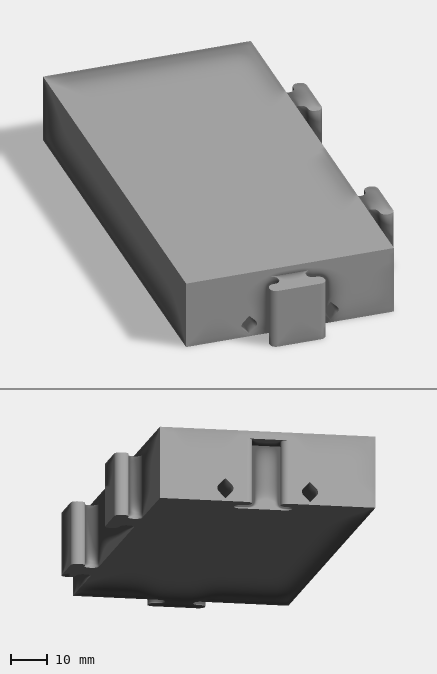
import cadquery as cq
import math

CELL = 60.0
BLOCK_LENGTH = 2 * CELL
BLOCK_HEIGHT = 20.0

HEAD_WIDTH = 16.0
HEAD_THICKNESS = 4.0
NECK_WIDTH = 7.9
NECK_LENGTH = 4.0
CONNECTOR_FILLET = 1.8
CONNECTOR_FOOT = 3 * CONNECTOR_FILLET
KNOB_HEIGHT = 17.5

CLEARANCE = 0.06
SOCKET_HEIGHT = 17.8

CHANNEL_SIDE = 4.0
CHANNEL_FILLET = 1.4
CHANNEL_OFFSET = 11.8
CHANNEL_AXIS_HEIGHT = 3.6

LETTER_DEPTH = 1.0
BASELINE_Y = -12.0
ASCENDER_HEIGHT = 25.6
ROUND_TOP = 18.3
ROUND_BOTTOM = -0.3
STROKE = 2.5
SERIF = 2.3
COUNTER_TOP = ROUND_TOP - STROKE
COUNTER_BOTTOM = ROUND_BOTTOM + STROKE

A_STEM_LEFT = 3.1
A_STEM_RIGHT = 6.1
A_FOOT_LEFT = 3.5
A_FOOT_RIGHT = 7.9
A_TIP_LEFT = -6.9
A_TIP_RIGHT = -4.5
A_BOWL_LEFT = -7.7
A_COUNTER_LEFT = -4.7
A_BAR_LEFT = -2.0
A_ARCH_CENTRE = -0.5
A_BOWL_CENTRE = -2.5
A_COUNTER_CENTRE = -1.4

A_TIP_BOTTOM = 12.4
A_SHOULDER = 13.5
A_BAR_TOP = 10.1
A_BAR_BOTTOM = 7.7
A_BOWL_MIDDLE = 4.9

B_SERIF_LEFT = -10.0
B_STEM_LEFT = -7.2
B_STEM_RIGHT = -4.1
B_FOOT_RIGHT = -4.5
B_BOWL_CENTRE = 0.8
B_BOWL_RIGHT = 7.8
B_COUNTER_CENTRE = 0.0
B_COUNTER_RIGHT = 4.5

B_BOWL_MIDDLE = (ROUND_TOP + ROUND_BOTTOM) / 2
B_COUNTER_SHOULDER = 13.3
B_COUNTER_HIP = 4.7

RIGHT = (1, 0)
LEFT = (-1, 0)
UP = (0, 1)
DOWN = (0, -1)
UP_RIGHT = (1, 1)
DOWN_RIGHT = (1, -1)
DOWN_LEFT = (-1, -1)


def connector(gap, height):
    """T-shaped prism pointing along +X, grown by gap on its flanks and tip.

    A foot behind the plane X = 0 gives the neck its flared root.
    """
    half_neck = NECK_WIDTH / 2 + gap
    half_head = HEAD_WIDTH / 2 + gap
    half_foot = half_neck + CONNECTOR_FOOT
    foot_back = -CONNECTOR_FOOT
    head_back = NECK_LENGTH - gap
    tip = NECK_LENGTH + HEAD_THICKNESS + gap
    upper_side = [
        (foot_back, half_foot),
        (0, half_foot),
        (0, half_neck),
        (head_back, half_neck),
        (head_back, half_head),
        (tip, half_head),
    ]
    lower_side = [(x, -y) for x, y in reversed(upper_side)]
    prism = cq.Workplane("XY").polyline(upper_side + lower_side).close().extrude(height)
    return prism.edges("|Z").fillet(CONNECTOR_FILLET)


def channel(y):
    """Cutter for one channel through the whole block length."""
    half_diagonal = CHANNEL_SIDE / math.sqrt(2)
    return (
        cq.Workplane("YZ", origin=(-BLOCK_LENGTH / 2, y, CHANNEL_AXIS_HEIGHT))
        .polyline([(0, half_diagonal), (half_diagonal, 0), (0, -half_diagonal), (-half_diagonal, 0)])
        .close()
        .extrude(BLOCK_LENGTH)
        .edges("|X and (<Y or >Y)")
        .fillet(CHANNEL_FILLET)
    )


def letter_plane(cell_x):
    """Plane of the inlay floor, with its origin on the baseline of a cell."""
    return cq.Workplane("XY", origin=(cell_x, BASELINE_Y, BLOCK_HEIGHT - LETTER_DEPTH))


def make_letter_a(cell_x):
    outline = (
        letter_plane(cell_x)
        .moveTo(A_FOOT_LEFT, 0)
        .lineTo(A_FOOT_RIGHT, 0)
        .lineTo(A_FOOT_RIGHT, SERIF)
        .lineTo(A_STEM_RIGHT, SERIF)
        .lineTo(A_STEM_RIGHT, A_SHOULDER)
        .spline([(A_ARCH_CENTRE, ROUND_TOP)], tangents=[UP, LEFT], includeCurrent=True)
        .spline([(A_TIP_LEFT, COUNTER_TOP)], tangents=[LEFT, DOWN_LEFT], includeCurrent=True)
        .lineTo(A_TIP_LEFT, A_TIP_BOTTOM)
        .lineTo(A_TIP_RIGHT, A_TIP_BOTTOM)
        .spline([(A_ARCH_CENTRE, COUNTER_TOP)], tangents=[UP, RIGHT], includeCurrent=True)
        .spline([(A_STEM_LEFT, A_SHOULDER)], tangents=[RIGHT, DOWN_RIGHT], includeCurrent=True)
        .lineTo(A_STEM_LEFT, A_BAR_TOP)
        .lineTo(A_BAR_LEFT, A_BAR_TOP)
        .spline([(A_BOWL_LEFT, A_BOWL_MIDDLE)], tangents=[LEFT, DOWN], includeCurrent=True)
        .spline([(A_BOWL_CENTRE, ROUND_BOTTOM)], tangents=[DOWN, RIGHT], includeCurrent=True)
        .spline([(A_STEM_LEFT, COUNTER_BOTTOM)], tangents=[RIGHT, UP_RIGHT], includeCurrent=True)
        .close()
        .extrude(LETTER_DEPTH)
    )
    counter = (
        letter_plane(cell_x)
        .moveTo(A_STEM_LEFT, A_BAR_BOTTOM)
        .lineTo(A_BAR_LEFT, A_BAR_BOTTOM)
        .spline([(A_COUNTER_LEFT, A_BOWL_MIDDLE)], tangents=[LEFT, DOWN], includeCurrent=True)
        .spline([(A_COUNTER_CENTRE, COUNTER_BOTTOM)], tangents=[DOWN, RIGHT], includeCurrent=True)
        .spline([(A_STEM_LEFT, A_BOWL_MIDDLE)], tangents=[RIGHT, UP_RIGHT], includeCurrent=True)
        .close()
        .extrude(LETTER_DEPTH)
    )
    return outline.cut(counter)


def make_letter_b(cell_x):
    outline = (
        letter_plane(cell_x)
        .moveTo(B_STEM_LEFT, 0)
        .lineTo(B_FOOT_RIGHT, 0)
        .lineTo(B_STEM_RIGHT, COUNTER_BOTTOM)
        .spline([(B_BOWL_CENTRE, ROUND_BOTTOM)], tangents=[DOWN_RIGHT, RIGHT], includeCurrent=True)
        .spline([(B_BOWL_RIGHT, B_BOWL_MIDDLE)], tangents=[RIGHT, UP], includeCurrent=True)
        .spline([(B_BOWL_CENTRE, ROUND_TOP)], tangents=[UP, LEFT], includeCurrent=True)
        .spline([(B_STEM_RIGHT, COUNTER_TOP)], tangents=[LEFT, DOWN_LEFT], includeCurrent=True)
        .lineTo(B_STEM_RIGHT, ASCENDER_HEIGHT)
        .lineTo(B_SERIF_LEFT, ASCENDER_HEIGHT)
        .lineTo(B_SERIF_LEFT, ASCENDER_HEIGHT - SERIF)
        .lineTo(B_STEM_LEFT, ASCENDER_HEIGHT - SERIF)
        .close()
        .extrude(LETTER_DEPTH)
    )
    counter = (
        letter_plane(cell_x)
        .moveTo(B_STEM_RIGHT, B_COUNTER_HIP)
        .spline([(B_COUNTER_CENTRE, COUNTER_BOTTOM)], tangents=[DOWN_RIGHT, RIGHT], includeCurrent=True)
        .spline([(B_COUNTER_RIGHT, B_BOWL_MIDDLE)], tangents=[RIGHT, UP], includeCurrent=True)
        .spline([(B_COUNTER_CENTRE, COUNTER_TOP)], tangents=[UP, LEFT], includeCurrent=True)
        .spline([(B_STEM_RIGHT, B_COUNTER_SHOULDER)], tangents=[LEFT, DOWN_LEFT], includeCurrent=True)
        .close()
        .extrude(LETTER_DEPTH)
    )
    return outline.cut(counter)


def make_block(inlays):
    """Tile block with its knobs, socket and channels, and a recess for each inlay."""
    body = cq.Workplane("XY").box(BLOCK_LENGTH, CELL, BLOCK_HEIGHT, centered=(True, True, False))

    knob = connector(0, KNOB_HEIGHT)
    for x in (-CELL / 2, CELL / 2):
        body = body.union(knob.rotate((0, 0, 0), (0, 0, 1), 90).translate((x, CELL / 2, 0)))
    body = body.union(knob.translate((BLOCK_LENGTH / 2, 0, 0)))

    body = body.cut(connector(CLEARANCE, SOCKET_HEIGHT).translate((-BLOCK_LENGTH / 2, 0, 0)))

    for y in (-CHANNEL_OFFSET, CHANNEL_OFFSET):
        body = body.cut(channel(y))
    for inlay in inlays:
        body = body.cut(inlay)
    return body


letter_a = make_letter_a(-CELL / 2)
letter_b = make_letter_b(CELL / 2)
block = make_block([letter_a, letter_b])

result = cq.Compound.makeCompound([block.solids().val(), letter_a.solids().val(), letter_b.solids().val()])